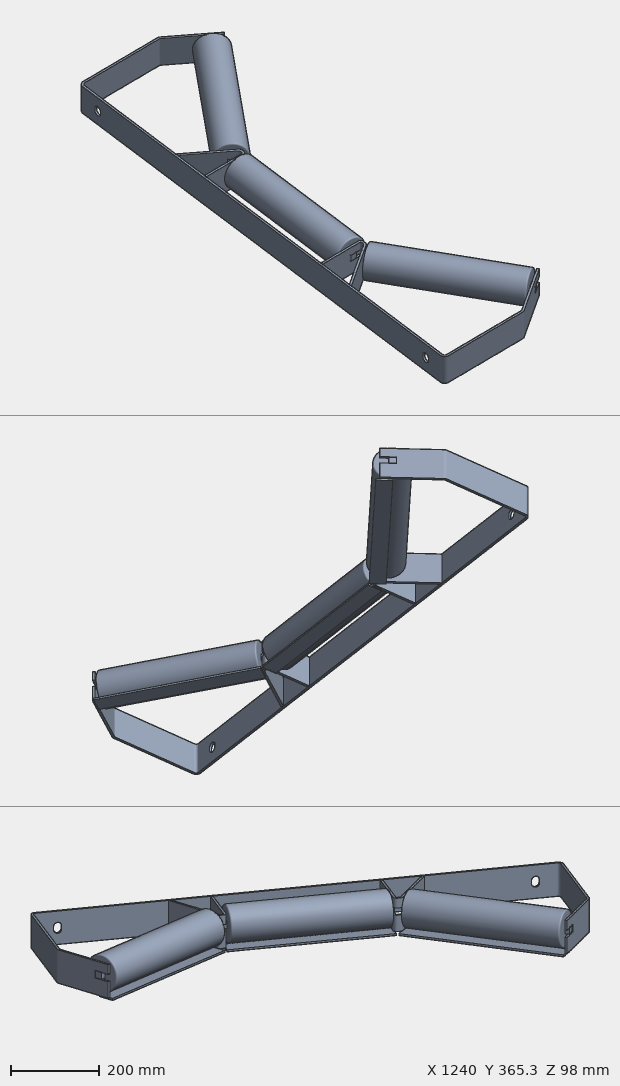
import cadquery as cq
import math

FRAME_LENGTH = 1240.0
SHEET = 6.0
SHEET_HEIGHT = 80.0
BEND_RADIUS = 12.0
BRACKET_BEND_RADIUS = 9.0
WALL_HEIGHT = 239.0
FRAME_TOP = 361.0
BRACKET_TOP = 126.0

ROLLER_RADIUS = 45.0
ROLLER_LENGTH = 380.0
ROLLER_EDGE_FILLET = 4.0
AXIS_Z = 48.0
TROUGH_ANGLE = 35.0
MIDDLE_ROLLER_Y = 99.0
SIDE_ROLLER_X = 386.0
SIDE_ROLLER_Y = 221.0
SUPPORT_DISTANCE = 195.0
SHAFT_WIDTH = 17.0
SHAFT_LENGTH = 2 * (SUPPORT_DISTANCE + SHEET)
SHAFT_SLOT_DEPTH = 99.0

STRIP_LENGTH = 394.0
STRIP_WIDTH = 38.0
STRIP_THICKNESS = 5.0
STRIP_OFFSET = 19.0

MOUNT_SLOT_SPACING = 1114.0
MOUNT_SLOT_WIDTH = 19.0
MOUNT_SLOT_HEIGHT = 26.0

COS = math.cos(math.radians(TROUGH_ANGLE))
SIN = math.sin(math.radians(TROUGH_ANGLE))

STATIONS = [
    (-SIDE_ROLLER_X, SIDE_ROLLER_Y, -TROUGH_ANGLE),
    (0.0, MIDDLE_ROLLER_Y, 0.0),
    (SIDE_ROLLER_X, SIDE_ROLLER_Y, TROUGH_ANGLE),
]


def at_station(body, station):
    """Move a body modelled along X at the origin to its roller station."""
    x, y, angle = station
    return body.rotate((0, 0, 0), (0, 0, 1), angle).translate((x, y, 0))


def shaft_slots():
    """Cutters for the shaft ends, open on the carrying side of each roller."""
    slot = cq.Workplane("XY").box(SHAFT_LENGTH + 2 * SHEET, SHAFT_SLOT_DEPTH, SHAFT_WIDTH)
    slot = slot.translate((0, (SHAFT_SLOT_DEPTH - SHAFT_WIDTH) / 2, AXIS_Z))
    return [at_station(slot, station) for station in STATIONS]


def round_bend(sheet, side, corner, radius):
    """Fillet the upright edge at a corner given for the +X half of the sheet."""
    x, y = corner
    edge = cq.selectors.NearestToPointSelector((side * x, y, SHEET_HEIGHT / 2))
    return sheet.edges("|Z").edges(edge).fillet(radius)


def make_frame():
    """Bent sheet with a straight back, two end walls and leaning tips that hold the side rollers."""
    half = FRAME_LENGTH / 2
    lean = (FRAME_TOP - WALL_HEIGHT) / COS
    tip_x = half - lean * SIN
    inner_half = half - SHEET
    inner_kink = WALL_HEIGHT - SHEET * math.tan(math.radians(TROUGH_ANGLE / 2))
    inner_tip = (tip_x - SHEET * COS, FRAME_TOP - SHEET * SIN)
    right_side = [
        (half, 0),
        (half, WALL_HEIGHT),
        (tip_x, FRAME_TOP),
        inner_tip,
        (inner_half, inner_kink),
        (inner_half, SHEET),
    ]
    left_side = [(-x, y) for x, y in reversed(right_side)]
    frame = cq.Workplane("XY").polyline(right_side + left_side).close().extrude(SHEET_HEIGHT)

    for side in (-1, 1):
        for outer_y, inner_y in ((0, SHEET), (WALL_HEIGHT, inner_kink)):
            frame = round_bend(frame, side, (half, outer_y), BEND_RADIUS)
            frame = round_bend(frame, side, (inner_half, inner_y), BEND_RADIUS - SHEET)

    mount_slots = (
        cq.Workplane("XZ", origin=(0, 0, SHEET_HEIGHT / 2))
        .rarray(MOUNT_SLOT_SPACING, 12, 2, 1)
        .slot2D(MOUNT_SLOT_HEIGHT, MOUNT_SLOT_WIDTH, 90)
        .extrude(-SHEET)
    )
    frame = frame.cut(mount_slots)
    for slot in shaft_slots():
        frame = frame.cut(slot)
    return frame


def make_bracket(side):
    """Bent sheet between the middle roller and the side roller on one side."""
    face_x = SIDE_ROLLER_X - SUPPORT_DISTANCE * COS
    face_y = SIDE_ROLLER_Y - SUPPORT_DISTANCE * SIN

    def slope_x(y, inset=0.0):
        """X of the sloping face at height y, moved into the sheet by the inset."""
        return face_x - inset / COS - (y - face_y) * SIN / COS

    outer_crown_near = (SUPPORT_DISTANCE, BRACKET_TOP)
    outer_crown_far = (slope_x(BRACKET_TOP), BRACKET_TOP)
    inner_y = BRACKET_TOP - SHEET
    inner_crown_near = (SUPPORT_DISTANCE + SHEET, inner_y)
    inner_crown_far = (slope_x(inner_y, SHEET), inner_y)
    outline = [
        (SUPPORT_DISTANCE, SHEET),
        outer_crown_near,
        outer_crown_far,
        (slope_x(SHEET), SHEET),
        (slope_x(SHEET, SHEET), SHEET),
        inner_crown_far,
        inner_crown_near,
        (SUPPORT_DISTANCE + SHEET, SHEET),
    ]
    outline = [(side * x, y) for x, y in outline]
    bracket = cq.Workplane("XY").polyline(outline).close().extrude(SHEET_HEIGHT)
    for corner in (outer_crown_near, outer_crown_far):
        bracket = round_bend(bracket, side, corner, BRACKET_BEND_RADIUS)
    for corner in (inner_crown_near, inner_crown_far):
        bracket = round_bend(bracket, side, corner, BRACKET_BEND_RADIUS - SHEET)
    for slot in shaft_slots():
        bracket = bracket.cut(slot)
    return bracket


def make_roller(station):
    """Roller with square shaft ends that lie in the slots of its supports."""
    drum = cq.Workplane("YZ", origin=(-ROLLER_LENGTH / 2, 0, 0))
    drum = drum.circle(ROLLER_RADIUS).extrude(ROLLER_LENGTH)
    drum = drum.faces("<X or >X").edges().fillet(ROLLER_EDGE_FILLET)
    shaft = cq.Workplane("XY").box(SHAFT_LENGTH, SHAFT_WIDTH, SHAFT_WIDTH)
    return at_station(drum.union(shaft).translate((0, 0, AXIS_Z)), station)


def make_strip(station):
    """Flat strip under a roller, against the underside of its supports."""
    strip = cq.Workplane("XY").box(STRIP_LENGTH, STRIP_WIDTH, STRIP_THICKNESS)
    return at_station(strip.translate((0, STRIP_OFFSET, -STRIP_THICKNESS / 2)), station)


frame = make_frame()
brackets = [make_bracket(side) for side in (-1, 1)]
rollers = [make_roller(station) for station in STATIONS]
strips = [make_strip(station) for station in STATIONS]

bodies = [frame, *brackets, *rollers, *strips]
result = cq.Compound.makeCompound([body.solids().val() for body in bodies])